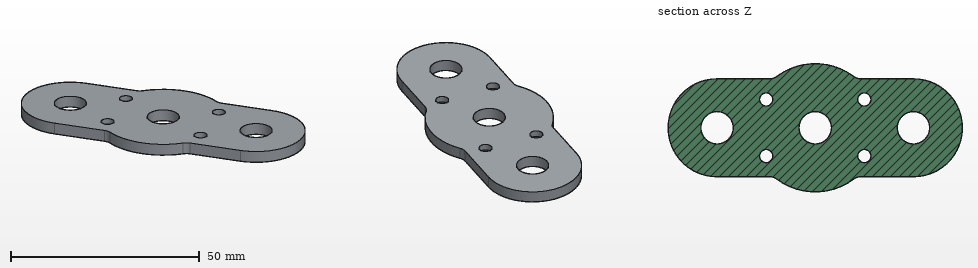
import cadquery as cq

length = 78.0
thickness = 3.2
hub_diameter = 34.0
end_radius = length / 6
end_spacing = length - 2 * end_radius
neck_fillet = 3.0

large_hole_diameter = 8.5
small_hole_diameter = 3.4
countersink_diameter = 6.4
countersink_angle = 90.0
small_hole_spacing_x = end_spacing / 2
small_hole_spacing_y = 15.0

bar = cq.Workplane("XY").slot2D(length, 2 * end_radius).extrude(thickness)
hub = cq.Workplane("XY").circle(hub_diameter / 2).extrude(thickness)
plate = bar.union(hub)

neck_x = ((hub_diameter / 2) ** 2 - end_radius ** 2) ** 0.5
neck_margin = 0.4
for side_x in (-1, 1):
    for side_y in (-1, 1):
        corner = cq.selectors.BoxSelector(
            (side_x * neck_x - neck_margin, side_y * end_radius - neck_margin, 0),
            (side_x * neck_x + neck_margin, side_y * end_radius + neck_margin, thickness),
        )
        plate = plate.edges("|Z").edges(corner).fillet(neck_fillet)

large_holes = (
    cq.Workplane("XY")
    .rarray(end_spacing / 2, 0.8, 3, 1)
    .circle(large_hole_diameter / 2)
    .extrude(thickness)
)

result = (
    plate.cut(large_holes)
    .faces("<Z")
    .workplane(origin=(0, 0, 0))
    .rarray(small_hole_spacing_x, small_hole_spacing_y, 2, 2)
    .cskHole(small_hole_diameter, countersink_diameter, countersink_angle)
)